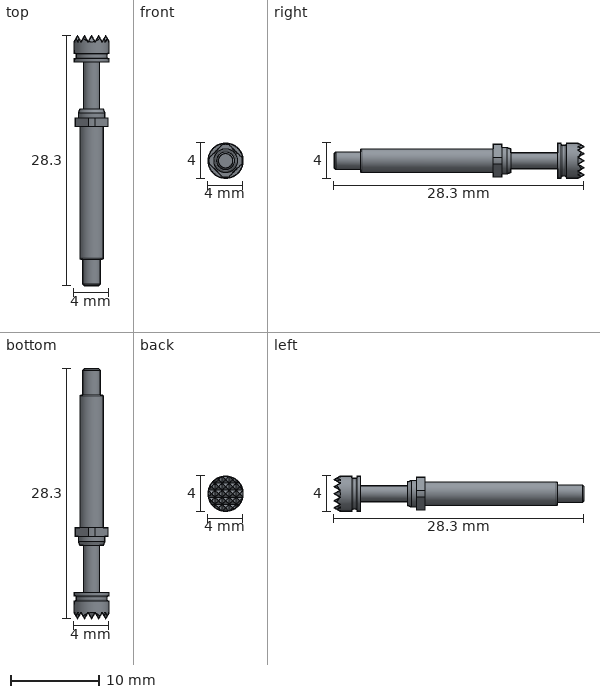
import cadquery as cq
import math

total_length = 28.3

tail_diameter = 2.0
tail_chamfer = 0.2
barrel_start = 3.0
barrel_diameter = 2.7
barrel_fillet = 0.17

flange_start = 18.0
flange_thickness = 1.0
flange_across_flats = 3.1
flange_corner_diameter = 3.74

collar_diameter = 3.03
collar_length = 0.57
nose_diameter = 2.7
nose_length = 0.45

shaft_diameter = 1.85
head_diameter = 4.0
head_length = 3.0
rim_thickness = 0.4
groove_width = 0.6
groove_diameter = 3.5
groove_fillet = 0.15

teeth_across = 5
tooth_pitch = head_diameter / teeth_across
tooth_depth = 0.7

flange_end = flange_start + flange_thickness
collar_end = flange_end + collar_length
nose_end = collar_end + nose_length
head_start = total_length - head_length
groove_start = head_start + rim_thickness
groove_end = groove_start + groove_width


def cylinder(diameter, start, end):
    """Round bar around the Y axis between two Y stations."""
    return (
        cq.Workplane("XZ", origin=(0, start, 0))
        .circle(diameter / 2)
        .extrude(start - end)
    )


def make_barrel():
    tail = cylinder(tail_diameter, 0, barrel_start).faces("<Y").chamfer(tail_chamfer)
    barrel = cylinder(barrel_diameter, barrel_start, flange_start).faces("<Y").fillet(barrel_fillet)
    return tail.union(barrel)


def make_flange():
    """Square bar with its corners on X and Z, trimmed by a cylinder."""
    square = (
        cq.Workplane("XZ", origin=(0, flange_start, 0))
        .rect(flange_across_flats, flange_across_flats)
        .extrude(-flange_thickness)
        .rotate((0, 0, 0), (0, 1, 0), 45)
    )
    return square.intersect(cylinder(flange_corner_diameter, flange_start, flange_end))


def make_collar():
    nose_inset = (collar_diameter - nose_diameter) / 2
    collar = cylinder(collar_diameter, flange_end, nose_end)
    return collar.faces(">Y").chamfer(nose_length, nose_inset)


def make_head():
    """Head blank with a round groove that has filleted floor corners."""
    groove_cutter = (
        cylinder(head_diameter + groove_width, groove_start, groove_end)
        .cut(cylinder(groove_diameter, groove_start, groove_end))
    )
    inner_edges = cq.selectors.RadiusNthSelector(0)
    groove_cutter = groove_cutter.edges("%CIRCLE").edges(inner_edges).fillet(groove_fillet)
    return cylinder(head_diameter, head_start, total_length).cut(groove_cutter)


def make_tooth_valleys():
    """V-shaped valleys running along Z, halfway between rows of tooth tips."""
    valley_floor = total_length - tooth_depth
    valley_pairs = math.ceil(head_diameter / 2 / tooth_pitch)
    valleys = cq.Workplane("XY")
    for row in range(-valley_pairs, valley_pairs):
        centre = (row + 0.5) * tooth_pitch
        valley = (
            cq.Workplane("XY")
            .moveTo(centre, valley_floor)
            .lineTo(centre + tooth_pitch / 2, total_length)
            .lineTo(centre - tooth_pitch / 2, total_length)
            .close()
            .extrude(head_diameter, both=True)
        )
        valleys = valleys.add(valley)
    return valleys.combine()


def make_toothed_head():
    valleys = make_tooth_valleys()
    crossing_valleys = valleys.rotate((0, 0, 0), (0, 1, 0), 90)
    return make_head().cut(valleys).cut(crossing_valleys)


shaft = cylinder(shaft_diameter, nose_end, head_start)
result = (
    make_barrel()
    .union(make_flange())
    .union(make_collar())
    .union(shaft)
    .union(make_toothed_head())
)